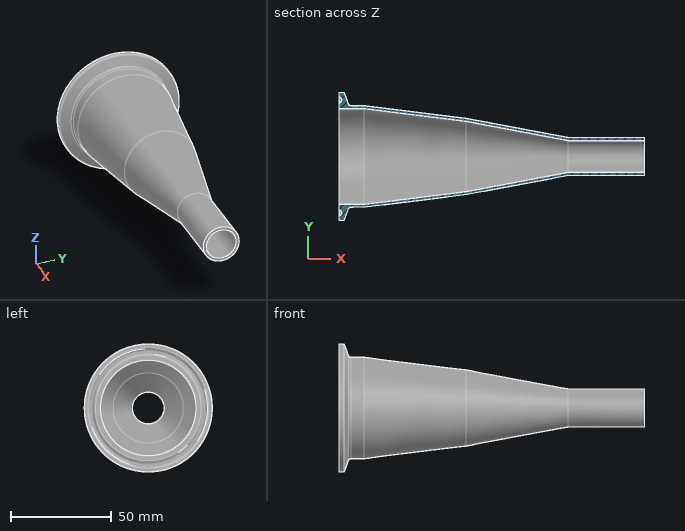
import cadquery as cq
import math

total_length = 152.4
ferrule_length = 12.6
tube_length = 38.1

large_diameter = 50.7
large_bore = 47.5
middle_diameter = 38.1
middle_bore = 34.9
small_diameter = 19.0
small_bore = 15.7

flange_diameter = 63.9
rim_thickness = 2.7
back_angle = 20.0
rim_round = 0.6
root_fillet = 1.2
face_edge_round = 0.23

groove_diameter = 56.4
groove_width = 2.7
groove_depth = 1.4
groove_edge_round = 0.6

small_end_start = total_length - tube_length
middle_station = (ferrule_length + small_end_start) / 2
back_rise = (flange_diameter - large_diameter) / 2
flange_back = rim_thickness + back_rise * math.tan(math.radians(back_angle))


def revolve_about_x(profile):
    """Turn a closed XY profile one full revolution about the X axis."""
    return profile.close().revolve(360, (0, 0, 0), (1, 0, 0))


def turned_solid(stations):
    """Solid of revolution through (x, diameter) stations."""
    outline = [(x, diameter / 2) for x, diameter in stations]
    axis_ends = [(stations[-1][0], 0), (stations[0][0], 0)]
    return revolve_about_x(cq.Workplane("XY").polyline(outline + axis_ends))


def round_circle(body, x, diameter, radius):
    """Fillet the circular edge of the given diameter centred on the X axis at x."""
    tolerance = 0.02
    matches = [
        edge
        for edge in body.edges("%CIRCLE").vals()
        if abs(edge.arcCenter().x - x) < tolerance
        and abs(2 * edge.radius() - diameter) < tolerance
    ]
    return body.newObject(matches).fillet(radius)


def outer_body():
    body = turned_solid([
        (0, flange_diameter),
        (rim_thickness, flange_diameter),
        (flange_back, large_diameter),
        (ferrule_length, large_diameter),
        (middle_station, middle_diameter),
        (small_end_start, small_diameter),
        (total_length, small_diameter),
    ])
    body = round_circle(body, rim_thickness, flange_diameter, rim_round)
    return round_circle(body, flange_back, large_diameter, root_fillet)


def bore():
    return turned_solid([
        (0, large_bore),
        (ferrule_length, large_bore),
        (middle_station, middle_bore),
        (small_end_start, small_bore),
        (total_length, small_bore),
    ])


def gasket_groove():
    centre_radius = groove_diameter / 2
    return revolve_about_x(
        cq.Workplane("XY")
        .moveTo(0, centre_radius - groove_width / 2)
        .threePointArc((groove_depth, centre_radius), (0, centre_radius + groove_width / 2))
    )


def round_face_edges(body):
    """Round the rim, both groove edges and the bore mouth on the flange face."""
    body = round_circle(body, 0, flange_diameter, face_edge_round)
    for side in (-1, 1):
        body = round_circle(body, 0, groove_diameter + side * groove_width, groove_edge_round)
    return round_circle(body, 0, large_bore, face_edge_round)


result = round_face_edges(outer_body().cut(bore()).cut(gasket_groove()))